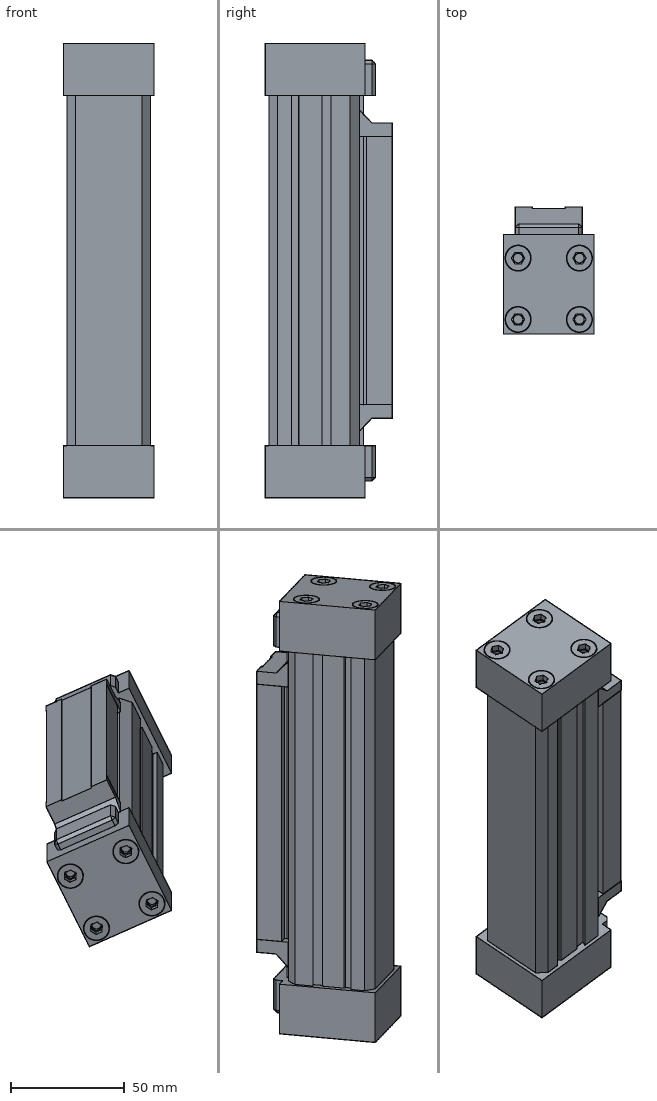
import cadquery as cq
import math


TOTAL_LENGTH = 200.0
CAP_WIDTH = 40.0
CAP_LENGTH = 23.0
CAP_BACK_Y = 24.0
CAP_FRONT_Y = -20.0
CAP_INNER_Z = TOTAL_LENGTH / 2 - CAP_LENGTH

SCREW_SPACING = 27.0
HEAD_DIAMETER = 11.0
COUNTERBORE_DIAMETER = 11.5
HEAD_DEPTH = 6.0
SOCKET_SIDES = 6
SOCKET_ACROSS_FLATS = 5.0
SOCKET_DEPTH = 3.0
SOCKET_DRILL_DIAMETER = 4.2
SOCKET_DRILL_DEPTH = 5.0

BUMPER_WIDTH = 29.5
BUMPER_LENGTH = 15.5
BUMPER_HEIGHT = 4.5
BUMPER_CHAMFER = 1.5

TUBE_HALF_WIDTH = 18.5
TUBE_FRONT_Y = -18.5
TUBE_BACK_Y = 21.5
FRONT_CHAMFER = 3.8
BACK_CHAMFER = 4.2
RAIL_HALF_WIDTH = 10.0
RAIL_TOP_Y = 23.5

LAND_X = 17.5
GROOVE_FLOOR_X = 16.5
BACK_GROOVE_TOP_Y = 9.0
BACK_GROOVE_UNDERCUT = 1.0
BACK_GROOVE_BOTTOM_Y = 5.0
FRONT_GROOVE_TOP_Y = -5.0
FRONT_GROOVE_FLOOR_Y = -5.5
FRONT_GROOVE_BOTTOM_Y = -8.5

CARRIAGE_BACK_Y = 36.0
CARRIAGE_LENGTH = 130.0
CARRIAGE_WIDTH = 29.5
END_PLATE_THICKNESS = 6.0
BLOCK_INSET = 0.2
BLOCK_UNDERSIDE_Y = 24.5
WIPER_LENGTH = 5.5
WIPER_START_Y = 27.0
CHANNEL_WIDTH = 14.5
CHANNEL_DEPTH = 0.5


def box_between(x_size, y_low, y_high, z_low, z_high):
    """A box centred on X = 0 between the given Y and Z limits."""
    return (
        cq.Workplane("XY", origin=(0, 0, z_low))
        .center(0, (y_low + y_high) / 2)
        .rect(x_size, y_high - y_low)
        .extrude(z_high - z_low)
    )


def make_tube():
    """The grooved tube between the caps, drawn as one half outline and mirrored in X."""
    half_outline = [
        (0, TUBE_FRONT_Y),
        (TUBE_HALF_WIDTH - FRONT_CHAMFER, TUBE_FRONT_Y),
        (TUBE_HALF_WIDTH, TUBE_FRONT_Y + FRONT_CHAMFER),
        (TUBE_HALF_WIDTH, FRONT_GROOVE_BOTTOM_Y),
        (GROOVE_FLOOR_X, FRONT_GROOVE_BOTTOM_Y),
        (GROOVE_FLOOR_X, FRONT_GROOVE_FLOOR_Y),
        (LAND_X, FRONT_GROOVE_TOP_Y),
        (LAND_X, BACK_GROOVE_BOTTOM_Y),
        (GROOVE_FLOOR_X, BACK_GROOVE_BOTTOM_Y),
        (GROOVE_FLOOR_X, BACK_GROOVE_TOP_Y + BACK_GROOVE_UNDERCUT),
        (TUBE_HALF_WIDTH, BACK_GROOVE_TOP_Y),
        (TUBE_HALF_WIDTH, TUBE_BACK_Y - BACK_CHAMFER),
        (TUBE_HALF_WIDTH - BACK_CHAMFER, TUBE_BACK_Y),
        (RAIL_HALF_WIDTH, TUBE_BACK_Y),
        (RAIL_HALF_WIDTH, RAIL_TOP_Y),
        (0, RAIL_TOP_Y),
    ]
    return (
        cq.Workplane("XY", origin=(0, 0, -CAP_INNER_Z))
        .polyline(half_outline)
        .mirrorY()
        .extrude(2 * CAP_INNER_Z)
    )


def cut_screws(cap):
    """Cut the gap around each flush screw head and the hexagon socket in it."""
    def at_screws():
        return (
            cq.Workplane("XY", origin=(0, 0, TOTAL_LENGTH / 2))
            .rect(SCREW_SPACING, SCREW_SPACING, forConstruction=True)
            .vertices()
        )

    socket_corner_diameter = SOCKET_ACROSS_FLATS / math.cos(math.pi / SOCKET_SIDES)
    head_gaps = at_screws().circle(COUNTERBORE_DIAMETER / 2).circle(HEAD_DIAMETER / 2).extrude(-HEAD_DEPTH)
    sockets = at_screws().polygon(SOCKET_SIDES, socket_corner_diameter).extrude(-SOCKET_DEPTH)
    drills = at_screws().circle(SOCKET_DRILL_DIAMETER / 2).extrude(-SOCKET_DRILL_DEPTH)
    return cap.cut(head_gaps).cut(sockets).cut(drills)


def make_bumper():
    """The block on the back of the upper cap, chamfered on its outer edges."""
    bumper = box_between(
        BUMPER_WIDTH, CAP_BACK_Y, CAP_BACK_Y + BUMPER_HEIGHT, CAP_INNER_Z, CAP_INNER_Z + BUMPER_LENGTH
    )
    return bumper.edges("|Y and >Z or (>Y and (|Z or >Z))").chamfer(BUMPER_CHAMFER)


def make_upper_cap():
    """The upper end cap with its screws and bumper."""
    cap = box_between(CAP_WIDTH, CAP_FRONT_Y, CAP_BACK_Y, CAP_INNER_Z, TOTAL_LENGTH / 2)
    return cut_screws(cap).union(make_bumper())


def make_housing():
    """The tube and both end caps as one body."""
    upper_cap = make_upper_cap()
    return make_tube().union(upper_cap).union(upper_cap.mirror("XY"))


def make_end_plate():
    """The upper end plate of the carriage, with a wiper that slopes down to the tube."""
    outer_z = CARRIAGE_LENGTH / 2
    inner_z = outer_z - END_PLATE_THICKNESS
    side_outline = [
        (CARRIAGE_BACK_Y, inner_z),
        (CARRIAGE_BACK_Y, outer_z),
        (WIPER_START_Y, outer_z),
        (TUBE_BACK_Y, outer_z + WIPER_LENGTH),
        (TUBE_BACK_Y, inner_z),
    ]
    plate = cq.Workplane("YZ").polyline(side_outline).close().extrude(CARRIAGE_WIDTH / 2, both=True)
    rail_notch = box_between(2 * RAIL_HALF_WIDTH, TUBE_BACK_Y, RAIL_TOP_Y, inner_z, outer_z + WIPER_LENGTH)
    return plate.cut(rail_notch)


def make_carriage():
    """The carriage: a block on a neck over the rail, closed by an end plate at each end."""
    block_end_z = CARRIAGE_LENGTH / 2 - END_PLATE_THICKNESS
    block_width = CARRIAGE_WIDTH - 2 * BLOCK_INSET
    block = box_between(block_width, BLOCK_UNDERSIDE_Y, CARRIAGE_BACK_Y, -block_end_z, block_end_z)
    neck = box_between(2 * RAIL_HALF_WIDTH, RAIL_TOP_Y, BLOCK_UNDERSIDE_Y, -block_end_z, block_end_z)
    end_plate = make_end_plate()
    channel = box_between(
        CHANNEL_WIDTH,
        CARRIAGE_BACK_Y - CHANNEL_DEPTH,
        CARRIAGE_BACK_Y,
        -CARRIAGE_LENGTH / 2,
        CARRIAGE_LENGTH / 2,
    )
    return block.union(neck).union(end_plate).union(end_plate.mirror("XY")).cut(channel)


housing = make_housing()
carriage = make_carriage()

result = cq.Compound.makeCompound([housing.solids().val(), carriage.solids().val()])